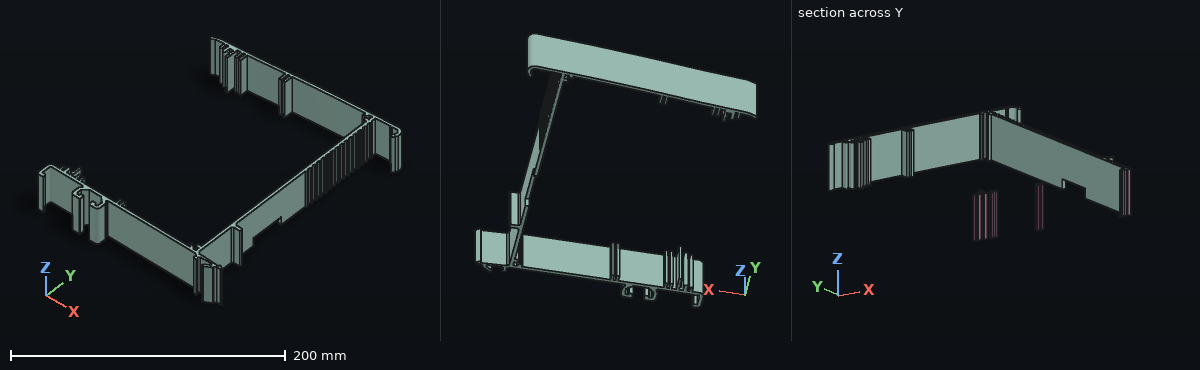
import cadquery as cq
import math

height = 35.0
thickness = 3.0

web_left = 145.3
web_right = web_left + thickness
web_center = (web_left + web_right) / 2

floor_top = 15.0
floor_bottom = floor_top - thickness
floor_center = (floor_top + floor_bottom) / 2

beak_start = (8.0, 197.8)
arch_start = (41.5, 200.8)
arch_middle = (98.0, 207.0)
part_right = 173.4
part_top = 212.7
hook_radius = 5.5
hook_center = (part_right - hook_radius, part_top - hook_radius)
roof_corner = 207.6

DIAGONAL = math.sqrt(0.5)


def below(point):
    return (point[0], point[1] - thickness)


def extrude(outline):
    return outline.close().extrude(height)


def polygon(points):
    return extrude(cq.Workplane("XY").polyline(points))


def box(x_min, x_max, y_min, y_max):
    block = cq.Workplane("XY").box(x_max - x_min, y_max - y_min, height, centered=False)
    return block.translate((x_min, y_min, 0))


def disc(center, radius):
    return cq.Workplane("XY").center(*center).circle(radius).extrude(height)


def upper_flange():
    arch_end = (hook_center[0], part_top)
    tip_radius = 1.6
    tip_center = (tip_radius, 194.2)
    beak_bend = (4.7, 196.8)
    beak_underside = (4.7, 194.2)
    tip_diagonal = tip_radius * DIAGONAL
    beak_tip_top = (tip_center[0] - tip_diagonal, tip_center[1] + tip_diagonal)
    beak_tip_bottom = (tip_center[0] + tip_diagonal, tip_center[1] - tip_diagonal)
    beak_tip_end = (tip_center[0] - tip_diagonal, tip_center[1] - tip_diagonal)
    return extrude(
        cq.Workplane("XY")
        .moveTo(*beak_start)
        .lineTo(*arch_start)
        .threePointArc(arch_middle, arch_end)
        .lineTo(*below(arch_end))
        .threePointArc(below(arch_middle), below(arch_start))
        .lineTo(*below(beak_start))
        .lineTo(*beak_underside)
        .lineTo(*beak_tip_bottom)
        .threePointArc(beak_tip_end, beak_tip_top)
        .lineTo(*beak_bend)
    )


def upper_hook():
    """Quarter ring, a short drop leaning inward, a bulbous tip and a bead under its root."""
    center_x, center_y = hook_center
    inner_radius = hook_radius - thickness
    inner_wall = part_right - thickness
    drop_length = 2.1
    drop_end = 203.5
    drop_lean = 1.3
    tip_center = (170.4, 203.0)
    tip_radius = 1.6
    bead_left = 162.5
    bead_right = 163.8
    bead_bottom = 207.8

    def on_diagonal(radius):
        return (center_x + radius * DIAGONAL, center_y + radius * DIAGONAL)

    band = extrude(
        cq.Workplane("XY")
        .moveTo(center_x, part_top)
        .threePointArc(on_diagonal(hook_radius), (part_right, center_y))
        .lineTo(part_right, center_y - drop_length)
        .lineTo(part_right - drop_lean, drop_end)
        .lineTo(inner_wall, drop_end)
        .lineTo(inner_wall, center_y)
        .threePointArc(on_diagonal(inner_radius), (center_x, center_y + inner_radius))
    )
    bead = box(bead_left, bead_right, bead_bottom, roof_center(bead_left))
    return band.union(disc(tip_center, tip_radius)).union(bead)


def roof_center(x):
    """Height of the middle of the upper flange, close enough to root a rib inside it."""
    rise = (part_top - beak_start[1]) / (hook_center[0] - beak_start[0])
    return beak_start[1] + rise * (x - beak_start[0]) - thickness / 2


rib_width = 2.1
wide_rib = (17.7, 3.0, 188.3, 20.6, True)
long_rib = (23.2, rib_width, 185.5, 26.0, False)
ribs = [
    (13.5, rib_width, 189.7, 19.1, True),
    wide_rib,
    long_rib,
    (28.5, rib_width, 189.7, 19.8, False),
    (32.3, rib_width, 189.7, 19.8, False),
    (68.3, rib_width, 193.5, 19.8, False),
    (72.1, rib_width, 193.5, 19.8, False),
]

slot_wall = long_rib[0] - rib_width / 2
slot_top = 194.0
slot_lip_reach = 0.9
slot_lip_half_tip = 0.95
slot_lip_half_base = 1.38
upper_slot_lip = 190.8
lower_slot_lip = 18.5


def rib(middle, width, root, tip, rounded):
    left = middle - width / 2
    right = middle + width / 2
    if not rounded:
        return box(left, right, min(root, tip), max(root, tip))
    radius = width / 2
    shoulder = tip + math.copysign(radius, root - tip)
    return extrude(
        cq.Workplane("XY")
        .moveTo(left, root)
        .lineTo(left, shoulder)
        .threePointArc((middle, tip), (right, shoulder))
        .lineTo(right, root)
    )


def slot_lip(y):
    """Small ridge on the long rib that narrows the slot beside it."""
    tip = slot_wall - slot_lip_reach
    root = slot_wall + rib_width / 4
    return polygon([
        (root, y - slot_lip_half_base),
        (tip, y - slot_lip_half_tip),
        (tip, y + slot_lip_half_tip),
        (root, y + slot_lip_half_base),
    ])


def screw_channel(flange_face, direction):
    """Two claws around a screw channel; direction points from the flange into the opening."""
    web_claw = [(-0.9, 3.0), (2.0, 3.0), (3.0, 4.0), (3.0, 6.2), (-0.9, 6.2)]
    flange_claw = [
        (6.2, -1.0),
        (6.2, 0.5),
        (6.8, 1.3),
        (6.2, 3.2),
        (5.3, 2.1),
        (4.3, 2.5),
        (2.5, 0),
        (2.5, -1.0),
    ]

    def placed(claw):
        return polygon([(web_left - away, flange_face + direction * along) for away, along in claw])

    return placed(web_claw).union(placed(flange_claw))


tooth_count = 15
tooth_span = 70.2
tooth_pitch = tooth_span / (tooth_count - 1)
tooth_first = 133.0
tooth_half_base = 1.17
tooth_half_tip = 0.6
tooth_height = 1.0


def tooth(y):
    return polygon([
        (web_center, y - tooth_half_base),
        (web_right, y - tooth_half_base),
        (web_right + tooth_height, y - tooth_half_tip),
        (web_right + tooth_height, y + tooth_half_tip),
        (web_right, y + tooth_half_base),
        (web_center, y + tooth_half_base),
    ])


def web_fin():
    """Fin on the outer side of the web with flared root and pointed tip."""
    middle = 53.2
    half = thickness / 2
    flare = 1.3
    shoulder = 155.3
    tip = 156.1
    return polygon([
        (web_center, middle - half - flare),
        (web_right, middle - half - flare),
        (web_right + flare, middle - half),
        (shoulder, middle - half),
        (tip, middle),
        (shoulder, middle + half),
        (web_right + flare, middle + half),
        (web_right, middle + half + flare),
        (web_center, middle + half + flare),
    ])


def lower_left_hook():
    left = 3.2
    inner = left + thickness
    lip_end = 9.8
    lip_top = 3.2
    lip_chamfer = 1.0
    top_radius = 4.3
    bottom_radius = 2.8
    inner_radius = 1.3
    root = 10.6
    return extrude(
        cq.Workplane("XY")
        .moveTo(root, floor_top)
        .lineTo(left + top_radius, floor_top)
        .radiusArc((left, floor_top - top_radius), -top_radius)
        .lineTo(left, bottom_radius)
        .radiusArc((left + bottom_radius, 0), -bottom_radius)
        .lineTo(lip_end, 0)
        .lineTo(lip_end, lip_top - lip_chamfer)
        .lineTo(lip_end - lip_chamfer, lip_top)
        .lineTo(inner, lip_top)
        .lineTo(inner, floor_bottom - inner_radius)
        .radiusArc((inner + inner_radius, floor_bottom), inner_radius)
        .lineTo(root, floor_bottom)
    )


def t_slot():
    """Pair of mirrored claws that hang below the lower flange."""
    middle = 49.8
    outer = 13.2
    inner = outer - thickness
    lip_far = 7.2
    lip_near = 4.3
    lip_top = 4.5
    neck = 11.5
    neck_flare = 0.9
    neck_drop = 1.0
    lip_chamfer = 0.6
    channel_chamfer = 0.9
    shoulder = 8.5
    brace = 5.7
    brace_drop = 4.0
    corner = 3.0

    def claw(side):
        def at(away, y):
            return (middle + side * away, y)

        return extrude(
            cq.Workplane("XY")
            .moveTo(*at(neck + neck_flare, floor_center))
            .lineTo(*at(neck + neck_flare, floor_bottom))
            .lineTo(*at(neck, floor_bottom - neck_drop))
            .lineTo(*at(outer, shoulder))
            .lineTo(*at(outer, corner))
            .radiusArc(at(outer - corner, 0), side * corner)
            .lineTo(*at(lip_near + lip_chamfer, 0))
            .lineTo(*at(lip_near, lip_chamfer))
            .lineTo(*at(lip_near, lip_top))
            .lineTo(*at(lip_far, lip_top))
            .lineTo(*at(lip_far, thickness + channel_chamfer))
            .lineTo(*at(lip_far + channel_chamfer, thickness))
            .lineTo(*at(inner - channel_chamfer, thickness))
            .lineTo(*at(inner, thickness + channel_chamfer))
            .lineTo(*at(inner, floor_bottom - brace_drop))
            .lineTo(*at(brace, floor_bottom))
            .lineTo(*at(brace, floor_center))
        )

    return claw(-1).union(claw(1))


def lower_tongue():
    """Thin tongue beyond the web with a barbed tip, a hanging diagonal arm and a foot near the web."""
    root_overlap = 0.5
    tongue = polygon([
        (web_center, floor_top + root_overlap),
        (web_right, floor_top + root_overlap),
        (150.0, 13.8),
        (168.7, 13.0),
        (169.5, 14.7),
        (part_right, 12.3),
        (172.3, 11.5),
        (169.1, 11.5),
        (167.2, 10.2),
        (167.2, 9.1),
        (165.3, 7.9),
        (161.0, 5.3),
        (159.5, 5.3),
        (159.5, 7.5),
        (161.9, 8.5),
        (164.5, 10.2),
        (164.0, 11.5),
        (152.7, 11.5),
        (web_center, floor_bottom),
    ])
    foot = polygon([
        (web_center, floor_bottom + root_overlap),
        (web_right - 0.6, floor_bottom),
        (149.5, 10.6),
        (149.0, 9.1),
        (149.8, 7.7),
        (152.5, 7.7),
        (152.5, 9.0),
        (151.7, 10.2),
        (152.7, 11.5),
        (152.7, floor_bottom + root_overlap),
    ])
    return tongue.union(foot)


flange_start = 8.5
result = upper_flange().union(upper_hook())
result = result.union(box(web_left, web_right, floor_center, roof_center(web_left)))
result = result.union(box(flange_start, web_right, floor_bottom, floor_top))

for middle, width, upper_tip, lower_tip, rounded in ribs:
    result = result.union(rib(middle, width, roof_center(middle), upper_tip, rounded))
    result = result.union(rib(middle, width, floor_center, lower_tip, rounded))

result = result.union(box(wide_rib[0], long_rib[0], slot_top, roof_center(wide_rib[0])))
result = result.union(slot_lip(upper_slot_lip)).union(slot_lip(lower_slot_lip))

result = result.union(screw_channel(floor_top, 1)).union(screw_channel(roof_corner, -1))
for index in range(tooth_count):
    result = result.union(tooth(tooth_first + index * tooth_pitch))
result = result.union(web_fin())
result = result.union(lower_left_hook()).union(t_slot()).union(lower_tongue())

notch_start = 75.0
notch_length = 30.2
notch_depth = 7.7
notch = cq.Workplane("XY").box(3 * thickness, notch_length, notch_depth, centered=(True, False, False))
result = result.cut(notch.translate((web_center, notch_start, 0)))